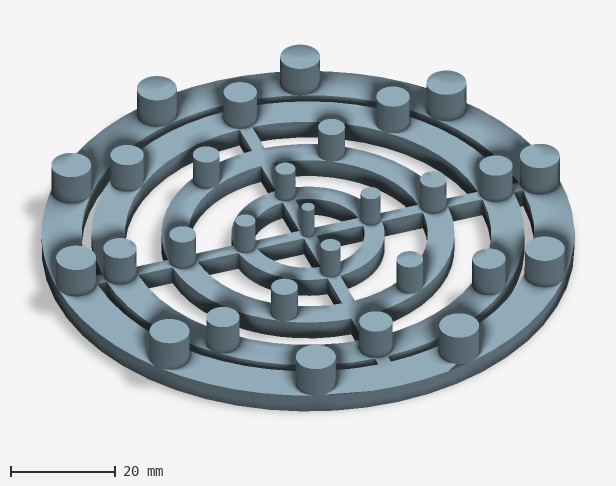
import cadquery as cq
import math

outer_diameter = 101.6
total_height = 10.2
centre_pin_diameter = 2.5
outer_pin_diameter = 7.6
ring_spacing = 12.7
spoke_width = centre_pin_diameter
pins_per_ring = [4, 6, 8, 10]
first_pin_angle = 90.0

ring_count = len(pins_per_ring)
diameter_step = (outer_pin_diameter - centre_pin_diameter) / ring_count
ring_widths = [centre_pin_diameter + diameter_step * (i + 1) for i in range(ring_count)]

ring_radii = [ring_spacing * (i + 1) for i in range(ring_count - 1)]
ring_radii.append((outer_diameter - outer_pin_diameter) / 2)

grid_thickness = ring_widths[0]
pin_height = total_height - grid_thickness
spoke_length = 2 * ring_radii[-1]


def ring(mean_radius, width):
    """Flat ring standing on the XY plane."""
    return (
        cq.Workplane("XY")
        .circle(mean_radius + width / 2)
        .circle(mean_radius - width / 2)
        .extrude(grid_thickness)
    )


def spoke(length_x, length_y):
    """Straight bar through the centre, as thick as the rings."""
    return cq.Workplane("XY").rect(length_x, length_y).extrude(grid_thickness)


def pins(points, diameter):
    """Round pins standing on top of the grid."""
    return (
        cq.Workplane("XY")
        .workplane(offset=grid_thickness)
        .pushPoints(points)
        .circle(diameter / 2)
        .extrude(pin_height)
    )


def points_on_circle(radius, count):
    """Evenly spaced points, starting at the first pin angle."""
    angles = [math.radians(first_pin_angle + 360.0 * i / count) for i in range(count)]
    return [(radius * math.cos(angle), radius * math.sin(angle)) for angle in angles]


result = spoke(spoke_length, spoke_width).union(spoke(spoke_width, spoke_length))
for radius, width in zip(ring_radii, ring_widths):
    result = result.union(ring(radius, width))

result = result.union(pins([(0, 0)], centre_pin_diameter))
for radius, width, count in zip(ring_radii, ring_widths, pins_per_ring):
    result = result.union(pins(points_on_circle(radius, count), width))